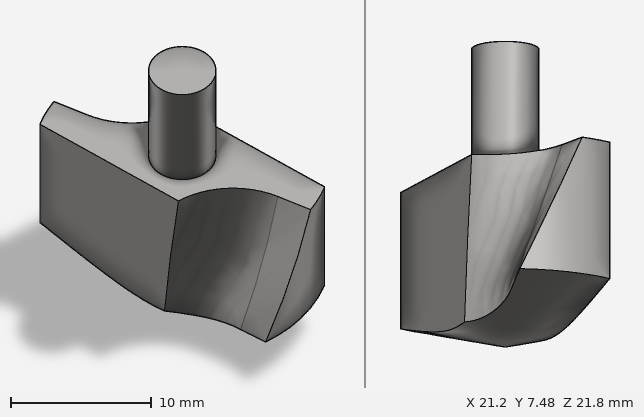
import cadquery as cq
import math

total_height = 21.8
head_diameter = 21.2
head_thickness = 7.48
cone_height = 3.18
head_side_height = 9.98
shank_diameter = 4.8

lip_outer = (10.5, 1.33)
lip_inner = (7.87, 0.94)
flute_radius = 6.52
flute_arc_sweep = 85.0
flute_lead = 0.4

head_radius = head_diameter / 2
head_top = cone_height + head_side_height
flute_clearance = 2.62


def make_head():
    """Conical-ended cylinder trimmed to a flat slab."""
    turned = (
        cq.Workplane("XZ")
        .polyline([(0, 0), (head_radius, cone_height), (head_radius, head_top), (0, head_top)])
        .close()
        .revolve(360, (0, 0), (0, 1))
    )
    slab = cq.Workplane("XY").box(head_diameter, head_thickness, head_top, centered=(True, True, False))
    return turned.intersect(slab)


def make_flute():
    """Helical cutter whose section is at its nominal angle at the head top."""
    lip_angle = math.atan2(lip_outer[1] - lip_inner[1], lip_outer[0] - lip_inner[0])
    center_x = lip_inner[0] + flute_radius * math.sin(lip_angle)
    center_y = lip_inner[1] - flute_radius * math.cos(lip_angle)

    def arc_point(sweep):
        angle = lip_angle + math.pi / 2 + math.radians(sweep)
        return center_x + flute_radius * math.cos(angle), center_y + flute_radius * math.sin(angle)

    arc_end = arc_point(flute_arc_sweep)
    outer_x = head_radius + flute_clearance
    outer_y = lip_outer[1] + (outer_x - lip_outer[0]) * math.tan(lip_angle)
    twist = head_top / flute_lead
    return (
        cq.Workplane("XY")
        .moveTo(outer_x, outer_y)
        .lineTo(*lip_inner)
        .threePointArc(arc_point(flute_arc_sweep / 2), arc_end)
        .lineTo(outer_x, arc_end[1])
        .close()
        .twistExtrude(head_top, twist)
        .rotate((0, 0, 0), (0, 0, 1), -twist)
    )


head = make_head()
flute = make_flute()
for turn in (0, 180):
    head = head.cut(flute.rotate((0, 0, 0), (0, 0, 1), turn))

shank = (
    cq.Workplane("XY")
    .workplane(offset=head_top)
    .circle(shank_diameter / 2)
    .extrude(total_height - head_top)
)

result = head.union(shank)